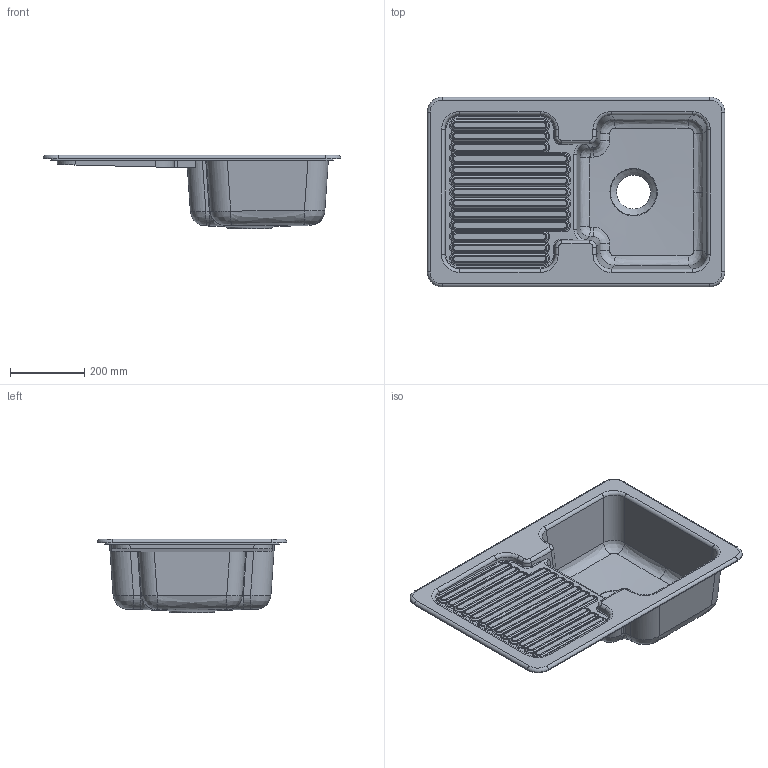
import cadquery as cq
import math

RIM_LENGTH = 800.7
RIM_WIDTH = 510.7
RIM_CORNER_RADIUS = 40
RIM_EDGE_HEIGHT = 10
RIM_EDGE_ROUND = 8
SEAT_INSET = 20
SEAT_BOTTOM = -14

WALL_DRAFT = 4
OPENING_ROUND = 9
TRAY_LEFT = -354
TRAY_RIGHT = -56
TRAY_CORNER_RADIUS = 40
BASIN_LEFT = 54
BASIN_RIGHT = 353
BASIN_CORNER_RADIUS = 40
OPENING_HALF_WIDTH = 208
NECK_HALF_WIDTH = 131
NECK_CORNER_RADIUS = 18
LOBE_LEFT = 0
LOBE_CORNER_RADIUS = 27
TRAY_END = 33
TRAY_DEPTH_LIMIT = 60

TRAY_FLOOR_HIGH = -13.4
TRAY_FLOOR_SLOPE = 1.4
TRAY_FOOT_ROUND = 3
TRAY_SIDE_THICKNESS = 10
TRAY_FLOOR_THICKNESS = 12
LIP_ROUND = 8
LIP_REACH = 10

BOWL_THICKNESS = 15
BOWL_FOOT_ROUND = 26.8
BOWL_FOOT_ROUND_OUTSIDE = 41
DRAIN_X = 155
DRAIN_BOTTOM = -198
DRAIN_HOLE_RADIUS = 45.75
DRAIN_FUNNEL_DEPTH = 15
DRAIN_TOP_RADIUS = 63
DRAIN_TOP_ROUND = 2
DRAIN_FLOOR_Z = -177
FLOOR_SLOPE = 0.03
BOSS_TOP_RADIUS = 65
BOSS_BOTTOM_RADIUS = 60

RIDGE_PITCH = 30
RIDGE_COUNT = 13
LONG_RIDGE_COUNT = 7
RIDGE_START_X = -323
LONG_RIDGE_END_X = -32
SHORT_RIDGE_END_X = -88
RIDGE_TOP_HALF_WIDTH = 7
RIDGE_TOP_ROUND = 5
RIDGE_FOOT_ROUND = 6
RIDGE_FLANK_RUN = 4
RIDGE_FLANK_ANGLE = 35
RIDGE_ROOT = 2

SPAN = 1000
NEAR = 1
FOOT_ZONE_TOP = -158


def rounded_plate(length, width, corner_radius, z_bottom):
    return (
        cq.Workplane("XY")
        .rect(length, width)
        .extrude(z_bottom)
        .edges("|Z")
        .fillet(corner_radius)
    )


def rim():
    plate = rounded_plate(RIM_LENGTH, RIM_WIDTH, RIM_CORNER_RADIUS, -RIM_EDGE_HEIGHT)
    plate = plate.faces(">Z").edges().fillet(RIM_EDGE_ROUND)
    seat = rounded_plate(
        RIM_LENGTH - 2 * SEAT_INSET,
        RIM_WIDTH - 2 * SEAT_INSET,
        RIM_CORNER_RADIUS - SEAT_INSET,
        SEAT_BOTTOM,
    )
    return plate.union(seat)


def drafted_box(x_left, x_right, half_width, depth):
    """Box hanging from the rim plane, its four walls leaning in by the draft."""
    return (
        cq.Workplane("XY")
        .center((x_left + x_right) / 2, 0)
        .rect(x_right - x_left, 2 * half_width)
        .extrude(-depth, taper=WALL_DRAFT)
    )


def round_uprights(prism, corner_x, half_width, depth, radius):
    """Round the two upright edges, mirrored in Y, that start at corner_x, half_width."""
    run = depth * math.tan(math.radians(WALL_DRAFT))
    for y in (-half_width, half_width):
        near_corner = cq.selectors.BoxSelector(
            (corner_x - run, y - run, -0.9 * depth),
            (corner_x + run, y + run, -0.1 * depth),
        )
        prism = prism.edges(near_corner).fillet(radius)
    return prism


def bowl_prism(margin, depth):
    """Bowl with its lobe in the neck, the walls moved out by margin."""
    basin_left = BASIN_LEFT - margin
    basin_right = BASIN_RIGHT + margin
    lobe_left = LOBE_LEFT - margin
    basin_width = OPENING_HALF_WIDTH + margin
    neck_width = NECK_HALF_WIDTH + margin

    basin = drafted_box(basin_left, basin_right, basin_width, depth)
    lobe = drafted_box(lobe_left, DRAIN_X, neck_width, depth)
    prism = basin.union(lobe)
    prism = round_uprights(prism, basin_left, basin_width, depth, BASIN_CORNER_RADIUS + margin)
    prism = round_uprights(prism, basin_right, basin_width, depth, BASIN_CORNER_RADIUS + margin)
    prism = round_uprights(prism, lobe_left, neck_width, depth, LOBE_CORNER_RADIUS + margin)
    return round_uprights(prism, basin_left, neck_width, depth, NECK_CORNER_RADIUS - margin)


def above_bowl_floor(drain_z):
    """Everything above a shallow cone that falls towards the drain."""
    return (
        cq.Workplane("XZ")
        .polyline([
            (0, drain_z - DRAIN_TOP_RADIUS * FLOOR_SLOPE),
            (SPAN, drain_z + (SPAN - DRAIN_TOP_RADIUS) * FLOOR_SLOPE),
            (SPAN, SPAN),
            (0, SPAN),
        ])
        .close()
        .revolve(360, (0, 0), (0, 1))
        .translate((DRAIN_X, 0, 0))
    )


def bowl(margin, drain_z, foot_round):
    """Bowl closed by its floor, with the round between floor and walls."""
    depth = -DRAIN_BOTTOM
    blank = bowl_prism(margin, depth).intersect(above_bowl_floor(drain_z))
    floor_edges = cq.selectors.BoxSelector(
        (-SPAN, -SPAN, DRAIN_BOTTOM), (SPAN, SPAN, FOOT_ZONE_TOP)
    )
    return blank.edges(floor_edges).fillet(foot_round)


def above_tray_plane(z_high):
    """Everything above a plane that falls from z_high at the tray's left end."""
    drop = math.tan(math.radians(TRAY_FLOOR_SLOPE))
    left = TRAY_LEFT - SPAN
    right = TRAY_LEFT + SPAN
    return (
        cq.Workplane("XZ")
        .polyline([
            (left, z_high + SPAN * drop),
            (right, z_high - SPAN * drop),
            (right, SPAN),
            (left, SPAN),
        ])
        .close()
        .extrude(SPAN / 2, both=True)
    )


def tray_prism(margin):
    """Tray with its neck, open downwards, the walls moved out by margin."""
    tray_left = TRAY_LEFT - margin
    tray_right = TRAY_RIGHT + margin
    tray_width = OPENING_HALF_WIDTH + margin
    neck_width = NECK_HALF_WIDTH + margin
    depth = TRAY_DEPTH_LIMIT

    tray = drafted_box(tray_left, tray_right, tray_width, depth)
    neck = drafted_box((tray_left + tray_right) / 2, TRAY_END, neck_width, depth)
    prism = tray.union(neck)
    prism = round_uprights(prism, tray_left, tray_width, depth, TRAY_CORNER_RADIUS + margin)
    prism = round_uprights(prism, tray_right, tray_width, depth, TRAY_CORNER_RADIUS + margin)
    return round_uprights(prism, tray_right, neck_width, depth, NECK_CORNER_RADIUS - margin)


def lip_relief():
    """Space above the rounded lip where the tray floor meets the bowl."""
    depth = -DRAIN_BOTTOM
    lobe = drafted_box(LOBE_LEFT, DRAIN_X, NECK_HALF_WIDTH, depth)
    lobe = round_uprights(lobe, LOBE_LEFT, NECK_HALF_WIDTH, depth, LOBE_CORNER_RADIUS)
    ground = (
        cq.Workplane("XY")
        .box(-2 * TRAY_RIGHT, SPAN, TRAY_DEPTH_LIMIT)
        .translate((0, 0, TRAY_FLOOR_HIGH - TRAY_DEPTH_LIMIT / 2))
        .cut(above_tray_plane(TRAY_FLOOR_HIGH))
        .cut(lobe)
    )
    lip_z = TRAY_FLOOR_HIGH + (TRAY_LEFT - LOBE_LEFT) * math.tan(math.radians(TRAY_FLOOR_SLOPE))
    lip_edge = cq.selectors.BoxSelector(
        (LOBE_LEFT - NEAR, -NEAR, lip_z - NEAR), (LOBE_LEFT + LIP_ROUND, NEAR, lip_z + NEAR)
    )
    ground = ground.edges(lip_edge).fillet(LIP_ROUND)
    region = cq.Workplane("XY").box(2 * TRAY_END, SPAN, 2 * TRAY_DEPTH_LIMIT)
    region = region.translate((LOBE_LEFT - LIP_REACH + TRAY_END, 0, 0))
    return tray_prism(0).intersect(region).cut(ground)


def tray_space():
    tray = tray_prism(0).intersect(above_tray_plane(TRAY_FLOOR_HIGH))
    tray = tray.faces("<Z").edges("not >X").fillet(TRAY_FOOT_ROUND)
    return tray.union(lip_relief())


def tray_shell():
    outside_floor = TRAY_FLOOR_HIGH - TRAY_FLOOR_THICKNESS
    return tray_prism(TRAY_SIDE_THICKNESS).intersect(above_tray_plane(outside_floor))


def drain_cone(top_radius, top_z, bottom_radius, bottom_z):
    """Cone frustum around the drain axis."""
    return (
        cq.Workplane("XY", origin=(DRAIN_X, 0, bottom_z))
        .circle(bottom_radius)
        .workplane(offset=top_z - bottom_z)
        .circle(top_radius)
        .loft(ruled=True)
    )


def drain_boss():
    """Conical boss under the bowl, reaching half way into its floor."""
    top_z = DRAIN_FLOOR_Z - BOWL_THICKNESS / 2
    return drain_cone(BOSS_TOP_RADIUS, top_z, BOSS_BOTTOM_RADIUS, DRAIN_BOTTOM)


def cut_drain(body):
    """Conical funnel with a rounded upper edge, and the hole through the boss."""
    funnel_bottom = DRAIN_FLOOR_Z - DRAIN_FUNNEL_DEPTH
    funnel = drain_cone(DRAIN_TOP_RADIUS, DRAIN_FLOOR_Z, DRAIN_HOLE_RADIUS, funnel_bottom)
    hole = (
        cq.Workplane("XY", origin=(DRAIN_X, 0, DRAIN_BOTTOM))
        .circle(DRAIN_HOLE_RADIUS)
        .extrude(funnel_bottom - DRAIN_BOTTOM)
    )
    body = body.cut(funnel).cut(hole)
    reach = DRAIN_TOP_RADIUS + NEAR
    funnel_edge = cq.selectors.BoxSelector(
        (DRAIN_X - reach, -reach, DRAIN_FLOOR_Z - NEAR),
        (DRAIN_X + reach, reach, DRAIN_FLOOR_Z + NEAR),
        boundingbox=True,
    )
    return body.edges(funnel_edge).fillet(DRAIN_TOP_ROUND)


def ridge(end_x, y):
    """One drainer ridge with rounded ends and S-shaped flanks, on a level floor."""
    angle = math.radians(RIDGE_FLANK_ANGLE)
    half = angle / 2
    foot_run = RIDGE_FOOT_ROUND * math.sin(angle)
    foot_rise = RIDGE_FOOT_ROUND * (1 - math.cos(angle))
    flank_rise = RIDGE_FLANK_RUN * math.tan(angle)
    top_run = RIDGE_TOP_ROUND * math.sin(angle)
    top_rise = RIDGE_TOP_ROUND * (1 - math.cos(angle))

    shoulder = RIDGE_TOP_HALF_WIDTH + top_run
    ankle = shoulder + RIDGE_FLANK_RUN
    toe = ankle + foot_run
    height = foot_rise + flank_rise + top_rise

    top_middle = (
        RIDGE_TOP_HALF_WIDTH + RIDGE_TOP_ROUND * math.sin(half),
        height - RIDGE_TOP_ROUND * (1 - math.cos(half)),
    )
    foot_middle = (
        toe - RIDGE_FOOT_ROUND * math.sin(half),
        RIDGE_FOOT_ROUND * (1 - math.cos(half)),
    )

    def half_profile(plane):
        return (
            cq.Workplane(plane)
            .moveTo(0, height)
            .lineTo(RIDGE_TOP_HALF_WIDTH, height)
            .threePointArc(top_middle, (shoulder, height - top_rise))
            .lineTo(ankle, foot_rise)
            .threePointArc(foot_middle, (toe, 0))
            .lineTo(toe, -RIDGE_ROOT)
            .lineTo(0, -RIDGE_ROOT)
            .close()
        )

    length = end_x - RIDGE_START_X
    end = half_profile("XZ").revolve(360, (0, 0), (0, 1))
    side = half_profile("YZ").extrude(length)
    bar = side.union(side.mirror("XZ"))
    return bar.union(end).union(end.translate((length, 0, 0))).translate((RIDGE_START_X, y, 0))


def drainer_ridges():
    """All ridges, tilted together onto the sloping tray floor."""
    ridges = None
    middle = RIDGE_COUNT // 2
    for index in range(RIDGE_COUNT):
        is_long = abs(index - middle) <= LONG_RIDGE_COUNT // 2
        end_x = LONG_RIDGE_END_X if is_long else SHORT_RIDGE_END_X
        bar = ridge(end_x, (index - middle) * RIDGE_PITCH)
        ridges = bar if ridges is None else ridges.union(bar)
    tilted = ridges.translate((-TRAY_LEFT, 0, 0)).rotate((0, 0, 0), (0, 1, 0), TRAY_FLOOR_SLOPE)
    return tilted.translate((TRAY_LEFT, 0, TRAY_FLOOR_HIGH))


def round_opening(body):
    """Round the edge where the rim turns down into the opening."""
    inside_rim = cq.selectors.BoxSelector(
        (TRAY_LEFT - NEAR, -OPENING_HALF_WIDTH - NEAR, -NEAR),
        (BASIN_RIGHT + NEAR, OPENING_HALF_WIDTH + NEAR, NEAR),
    )
    return body.faces(">Z").edges(inside_rim).fillet(OPENING_ROUND)


def sink():
    outside_drain_z = DRAIN_FLOOR_Z - BOWL_THICKNESS
    body = rim().union(tray_shell())
    body = body.union(bowl(BOWL_THICKNESS, outside_drain_z, BOWL_FOOT_ROUND_OUTSIDE))
    body = body.union(drain_boss())
    cavity = bowl(0, DRAIN_FLOOR_Z, BOWL_FOOT_ROUND).union(tray_space())
    body = cut_drain(round_opening(body.cut(cavity)))
    return body.union(drainer_ridges())


result = sink()